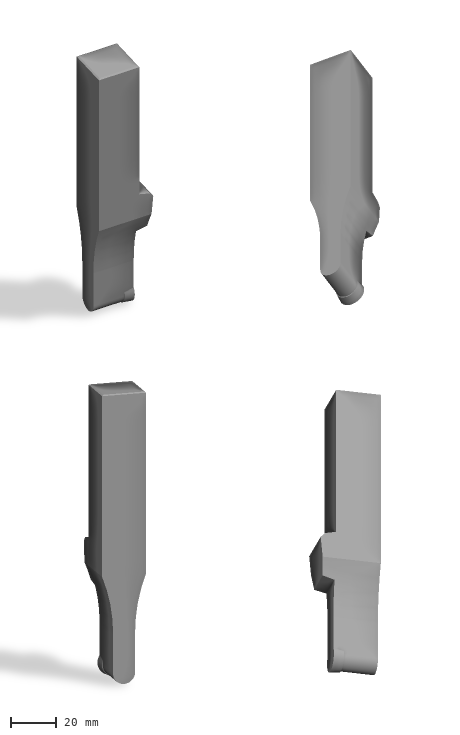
import cadquery as cq
import math

total_length = 132.0
shank_size = 20.0
half_shank = shank_size / 2
back_face_y = shank_size

insert_radius = 6.0
insert_thickness = 4.8
relief_angle = 7.0
insert_seat_radius = insert_radius - insert_thickness * math.tan(math.radians(relief_angle))
tip_center_z = insert_radius

neck_half_width = 5.0
flare_start_z = 24.0
flare_end_z = 50.0
flare_rise = flare_end_z - flare_start_z
flare_run = half_shank - neck_half_width
flare_radius = (flare_rise**2 + flare_run**2) / (2 * flare_run)

lug_top_root_z = 62.8
lug_shoulder_reach = 5.3
lug_shoulder_z = 61.5
lug_reach = 7.0
lug_tip_z = 59.5
lug_heel_reach = 5.4
lug_heel_z = 42.2
lug_bottom_root_z = 40.9

top_chamfer_inset = 0.8
top_chamfer_height = 0.4


def make_insert():
    """Truncated cone, wide at the back face where the cutting edge is."""
    cone = cq.Solid.makeCone(
        insert_radius,
        insert_seat_radius,
        insert_thickness,
        pnt=cq.Vector(0, back_face_y, tip_center_z),
        dir=cq.Vector(0, -1, 0),
    )
    return cq.Workplane(obj=cone)


def make_width_outline():
    """Outline in X and Z, extruded through the full depth including the lug."""
    half_sweep = math.asin(flare_rise / flare_radius) / 2
    mid_x = neck_half_width + flare_radius * (1 - math.cos(half_sweep))
    mid_z = flare_start_z + flare_radius * math.sin(half_sweep)
    return (
        cq.Workplane("XZ")
        .moveTo(-half_shank, total_length)
        .lineTo(half_shank, total_length)
        .lineTo(half_shank, flare_end_z)
        .threePointArc((mid_x, mid_z), (neck_half_width, flare_start_z))
        .lineTo(neck_half_width, tip_center_z)
        .threePointArc((0, tip_center_z - neck_half_width), (-neck_half_width, tip_center_z))
        .lineTo(-neck_half_width, flare_start_z)
        .threePointArc((-mid_x, mid_z), (-half_shank, flare_end_z))
        .close()
        .extrude(-(back_face_y + lug_reach))
    )


def make_depth_outline():
    """Outline in Y and Z: a straight bar with the lug on its back."""
    return (
        cq.Workplane("YZ")
        .polyline([
            (0, 0),
            (back_face_y, 0),
            (back_face_y, lug_bottom_root_z),
            (back_face_y + lug_heel_reach, lug_heel_z),
            (back_face_y + lug_reach, lug_tip_z),
            (back_face_y + lug_shoulder_reach, lug_shoulder_z),
            (back_face_y, lug_top_root_z),
            (back_face_y, total_length),
            (0, total_length),
        ])
        .close()
        .extrude(half_shank, both=True)
    )


def make_holder(seated_insert):
    """Shank, neck and lug in one piece, with a recess matching the insert."""
    blank = make_width_outline().intersect(make_depth_outline())
    blank = blank.faces(">Z").edges().chamfer(top_chamfer_inset, top_chamfer_height)
    return blank.cut(seated_insert)


insert = make_insert()
holder = make_holder(insert)

result = cq.Compound.makeCompound([holder.solids().val(), insert.val()])